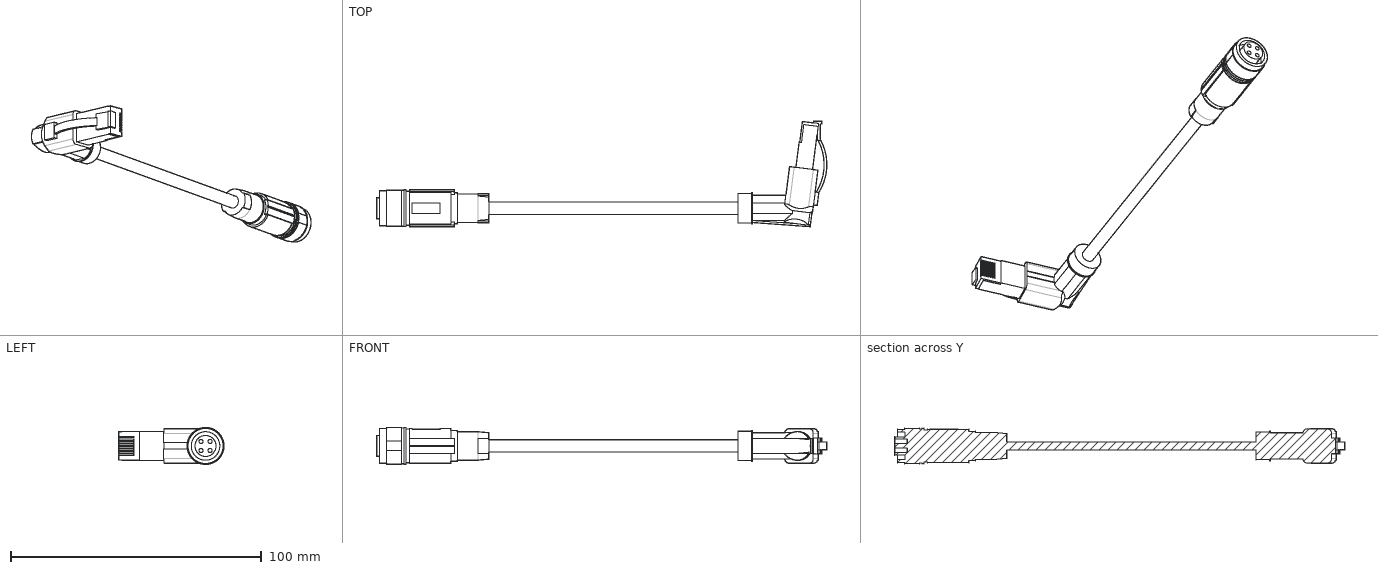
import cadquery as cq
import math

MAX_RADIUS = 7.395
TOTAL_LENGTH = 179.77
TOTAL_TOP = 34.765
OVERLAP = 0.5

NOSE_RADIUS = 4.2
NUT_START = 1.15
NUT_FACE_RADIUS = 7.0
NUT_BORE_RADIUS = 5.7
NUT_BORE_DEPTH = 3.0
NUT_GRIP_START = 4.0
NUT_GRIP_END = 9.95
NUT_RECESS_HALF_HEIGHT = 1.9
NUT_RECESS_DEPTH = 0.1
NUT_GROOVE_RADIUS = 7.2
RING_START = 11.0
RING_END = 11.8
NECK_RADIUS = 6.8
BODY_START = 13.2
BODY_END = 29.7
BODY_RADIUS = 7.0
COLLAR_END = 32.3
COLLAR_RADIUS = 6.2
SLEEVE_END = 40.4
SLEEVE_RADIUS = 5.75
CAP_END = 44.8
CAP_END_RADIUS = 5.35
CAP_PAD_RADIUS = 5.85
CONTACT_OFFSET = 1.8
CONTACT_HOLE_RADIUS = 0.8
CONTACT_HOLE_DEPTH = 5.0
PAD_END = 31.1
PAD_HALF_HEIGHT = 3.0
PAD_GROOVE_WIDTH = 0.5
PAD_GROOVE_DEPTH = 0.3
LABEL_START = 14.2
LABEL_END = 25.4
LABEL_WIDTH = 4.0

CABLE_RADIUS = 2.5

CUFF_START = 144.2
CUFF_END = 149.6
CUFF_RADIUS = 5.9
FLANGE_WIDTH = 0.4
FLANGE_RADIUS = 6.2
ARM_RADIUS = 5.7
ARM_FLAT_Z = 5.3
ARM_FLAT_Y = 5.2
RIDGE_HALF_HEIGHT = 3.0
RIDGE_END_DROP = MAX_RADIUS - ARM_RADIUS
ELBOW_X = 168.3
TURRET_RADIUS = 5.7
TURRET_BOTTOM = -6.2
TURRET_SIDE_BOTTOM = -4.4

PLUG_TILT = 7.3
HOUSING_BOTTOM = -1.2
HOUSING_TOP = 16.1
HOUSING_LEFT = -5.6
HOUSING_RIGHT = 5.9
HOUSING_HALF_HEIGHT = 6.95
HOUSING_FILLET = 1.9
HOUSING_CONE_RADIUS = 5.8
HOUSING_GROOVE_WIDTH = 2.6
HOUSING_GROOVE_DEPTH = 0.3
PLUG_TOP = 34.6
PLUG_LEFT = -3.05
PLUG_RIGHT = 3.75
PLUG_HALF_HEIGHT = 5.85
FRONT_STEP_LENGTH = 8.4
FRONT_STEP_DEPTH = 0.25
RIM_SIDE_WIDTH = 1.0
RIM_TIP_WIDTH = 1.2
RIM_DEPTH = 0.15
CONTACT_COUNT = 8
CONTACT_PITCH = 1.02
CONTACT_SLOT_WIDTH = 0.55
CONTACT_SLOT_LENGTH = 6.0
CONTACT_SLOT_DEPTH = 1.0
ANCHOR_BOTTOM = 2.0
ANCHOR_TOP = 7.3
ANCHOR_RIGHT = 7.4
LATCH_HALF_HEIGHT = 3.2
LEVER_HALF_HEIGHT = 1.6
LATCH_THICKNESS = 1.2
LATCH_FOOT = (176.5, 6.2)
LATCH_BEND = (177.1, 27.6)
LATCH_CROWN_Y = 17.2
LATCH_HOOK_LEFT = 174.3
LATCH_HOOK_RIGHT = 177.7
LATCH_HOOK_THICKNESS = 1.2


def box(x0, x1, y0, y1, z0, z1):
    """Axis-aligned block between two opposite corners."""
    return cq.Workplane("XY").box(x1 - x0, y1 - y0, z1 - z0, centered=False).translate((x0, y0, z0))


def rod(x0, x1, radius):
    """Cylinder on the X axis."""
    return cq.Workplane("YZ").workplane(offset=x0).circle(radius).extrude(x1 - x0)


def contact_holes():
    """Four contact holes on a square in the nose face."""
    holes = cq.Workplane("YZ").rect(2 * CONTACT_OFFSET, 2 * CONTACT_OFFSET, forConstruction=True)
    return holes.vertices().circle(CONTACT_HOLE_RADIUS).extrude(CONTACT_HOLE_DEPTH)


def round_connector():
    """Coupling nut, body, sleeve and end cap turned about the X axis, with grip pads."""
    profile = [
        (0, 0),
        (0, NOSE_RADIUS),
        (NUT_START + NUT_BORE_DEPTH, NOSE_RADIUS),
        (NUT_START + NUT_BORE_DEPTH, NUT_BORE_RADIUS),
        (NUT_START, NUT_BORE_RADIUS),
        (NUT_START, NUT_FACE_RADIUS),
        (NUT_GRIP_START, NUT_FACE_RADIUS),
        (NUT_GRIP_START, MAX_RADIUS),
        (NUT_GRIP_END, MAX_RADIUS),
        (NUT_GRIP_END, NUT_GROOVE_RADIUS),
        (RING_START, NUT_GROOVE_RADIUS),
        (RING_START, MAX_RADIUS),
        (RING_END, MAX_RADIUS),
        (RING_END, NECK_RADIUS),
        (BODY_START, NECK_RADIUS),
        (BODY_START, BODY_RADIUS),
        (BODY_END, BODY_RADIUS),
        (BODY_END, COLLAR_RADIUS),
        (COLLAR_END, COLLAR_RADIUS),
        (COLLAR_END, SLEEVE_RADIUS),
        (SLEEVE_END, SLEEVE_RADIUS),
        (CAP_END, CAP_END_RADIUS),
        (CAP_END, 0),
    ]
    connector = cq.Workplane("XY").polyline(profile).close().revolve(360, (0, 0, 0), (1, 0, 0))
    connector = connector.cut(contact_holes())

    label_floor = math.sqrt(BODY_RADIUS**2 - (LABEL_WIDTH / 2) ** 2)
    label = box(LABEL_START, LABEL_END, -LABEL_WIDTH / 2, LABEL_WIDTH / 2, label_floor, MAX_RADIUS)
    connector = connector.cut(label)

    nut_floor = MAX_RADIUS - NUT_RECESS_DEPTH
    for side in (-1, 1):
        grip = curved_strip(NUT_GRIP_START, NUT_GRIP_END, MAX_RADIUS, NUT_RECESS_HALF_HEIGHT, side)
        recess = grip.cut(rod(NUT_GRIP_START, NUT_GRIP_END, nut_floor))
        cap_pad = curved_strip(SLEEVE_END, CAP_END, CAP_PAD_RADIUS, PAD_HALF_HEIGHT, side)
        connector = connector.cut(recess).union(grip_pad(side)).union(cap_pad)
    return connector


def curved_strip(x0, x1, radius, half_height, side):
    """Part of an X cylinder within half_height of mid-height, on the +Y (side 1) or -Y (side -1) side."""
    y0, y1 = sorted((0, side * radius))
    return rod(x0, x1, radius).intersect(box(x0, x1, y0, y1, -half_height, half_height))


def grip_pad(side):
    """Curved grip on one side of the body, with a groove along its middle."""
    pad = curved_strip(BODY_START, PAD_END, MAX_RADIUS, PAD_HALF_HEIGHT, side)
    groove = curved_strip(BODY_START, PAD_END, MAX_RADIUS, PAD_GROOVE_WIDTH / 2, side)
    return pad.cut(groove.cut(rod(BODY_START, PAD_END, MAX_RADIUS - PAD_GROOVE_DEPTH)))


def place_on_elbow(shape):
    """Tilt a shape from the plug frame and move it to the elbow."""
    return shape.rotate((0, 0, 0), (0, 0, 1), -PLUG_TILT).translate((ELBOW_X, 0, 0))


def ridge():
    """Rounded rib on the -Y side of the arm that deepens toward the elbow."""
    end_y = -MAX_RADIUS
    end_x = ELBOW_X + end_y * math.sin(math.radians(PLUG_TILT)) + TURRET_RADIUS
    slope = math.degrees(math.atan2(RIDGE_END_DROP, end_x - CUFF_END))
    rib = rod(0, 2 * (end_x - CUFF_END), ARM_RADIUS)
    rib = rib.rotate((0, 0, 0), (0, 0, 1), -slope).translate((CUFF_END, 0, 0))
    strip = box(CUFF_END, TOTAL_LENGTH, end_y, 0, -RIDGE_HALF_HEIGHT, RIDGE_HALF_HEIGHT)
    end_stop = box(-ELBOW_X, TURRET_RADIUS, -2 * MAX_RADIUS, MAX_RADIUS, -MAX_RADIUS, MAX_RADIUS)
    return rib.intersect(strip).intersect(place_on_elbow(end_stop))


def turret():
    """Upright cylinder of the elbow, its lower end sloping up on both sides of the ridge."""
    top = HOUSING_BOTTOM + OVERLAP
    cylinder = cq.Workplane("XZ").workplane(offset=-top).circle(TURRET_RADIUS).extrude(top - TURRET_BOTTOM)
    side_profile = [
        (top, -TURRET_RADIUS),
        (TURRET_SIDE_BOTTOM, -TURRET_RADIUS),
        (TURRET_BOTTOM, -RIDGE_HALF_HEIGHT),
        (TURRET_BOTTOM, RIDGE_HALF_HEIGHT),
        (TURRET_SIDE_BOTTOM, TURRET_RADIUS),
        (top, TURRET_RADIUS),
    ]
    envelope = cq.Workplane("YZ").polyline(side_profile).close().extrude(TURRET_RADIUS, both=True)
    return cylinder.intersect(envelope)


def elbow_arm():
    """Cuff, flange and flattened arm leading from the cable to the elbow, with its turret and ridge."""
    cuff = rod(CUFF_START, CUFF_END, CUFF_RADIUS)
    flange = rod(CUFF_END, CUFF_END + FLANGE_WIDTH, FLANGE_RADIUS)
    arm = rod(CUFF_END, ELBOW_X, ARM_RADIUS)
    arm = arm.intersect(box(CUFF_END, ELBOW_X, -ARM_RADIUS, ARM_FLAT_Y, -ARM_FLAT_Z, ARM_FLAT_Z))
    return cuff.union(flange).union(arm).union(place_on_elbow(turret())).union(ridge())


def housing():
    """Filleted plug housing whose elbow end is turned to a 45 degree cone."""
    half_height = HOUSING_HALF_HEIGHT
    block = box(HOUSING_LEFT, HOUSING_RIGHT, HOUSING_BOTTOM, HOUSING_TOP, -half_height, half_height)
    block = block.edges("|Y").fillet(HOUSING_FILLET)
    reach = HOUSING_RIGHT + HOUSING_HALF_HEIGHT
    envelope = cq.Workplane("XY").polyline([
        (0, HOUSING_BOTTOM),
        (HOUSING_CONE_RADIUS, HOUSING_BOTTOM),
        (reach, HOUSING_BOTTOM + reach - HOUSING_CONE_RADIUS),
        (reach, HOUSING_TOP),
        (0, HOUSING_TOP),
    ]).close().revolve(360, (0, 0, 0), (0, 1, 0))
    half_groove = HOUSING_GROOVE_WIDTH / 2
    groove_floor = HOUSING_LEFT + HOUSING_GROOVE_DEPTH
    groove = box(HOUSING_LEFT, groove_floor, HOUSING_BOTTOM, HOUSING_TOP, -half_groove, half_groove)
    return block.intersect(envelope).cut(groove)


def modular_plug():
    """Rectangular plug with a stepped front, lowered rims at its tip and contact slots on its -X face."""
    plug = box(PLUG_LEFT, PLUG_RIGHT, HOUSING_TOP - OVERLAP, PLUG_TOP, -PLUG_HALF_HEIGHT, PLUG_HALF_HEIGHT)
    step_floor = PLUG_LEFT + FRONT_STEP_DEPTH
    step_start = PLUG_TOP - FRONT_STEP_LENGTH
    plug = plug.cut(box(PLUG_LEFT, step_floor, step_start, PLUG_TOP, -PLUG_HALF_HEIGHT, PLUG_HALF_HEIGHT))
    rim_z = PLUG_HALF_HEIGHT - RIM_DEPTH
    side_rim = box(PLUG_LEFT, PLUG_LEFT + RIM_SIDE_WIDTH, step_start, PLUG_TOP, rim_z, PLUG_HALF_HEIGHT)
    tip_rim = box(PLUG_LEFT, PLUG_RIGHT, PLUG_TOP - RIM_TIP_WIDTH, PLUG_TOP, rim_z, PLUG_HALF_HEIGHT)
    rim = side_rim.union(tip_rim)
    plug = plug.cut(rim).cut(rim.mirror("XY"))

    slot = box(
        PLUG_LEFT,
        step_floor + CONTACT_SLOT_DEPTH,
        PLUG_TOP - CONTACT_SLOT_LENGTH,
        PLUG_TOP,
        -CONTACT_SLOT_WIDTH / 2,
        CONTACT_SLOT_WIDTH / 2,
    )
    for index in range(CONTACT_COUNT):
        slot_z = (index - (CONTACT_COUNT - 1) / 2) * CONTACT_PITCH
        plug = plug.cut(slot.translate((0, 0, slot_z)))
    return plug


def latch_anchor():
    """Block on the housing that carries the foot of the latch."""
    left = HOUSING_RIGHT - OVERLAP
    return box(left, ANCHOR_RIGHT, ANCHOR_BOTTOM, ANCHOR_TOP, -LATCH_HALF_HEIGHT, LATCH_HALF_HEIGHT)


def latch():
    """Bowed lever from the housing up to a wide hook at the plug tip."""
    foot_x, foot_y = LATCH_FOOT
    bend_x, bend_y = LATCH_BEND
    bow = (
        cq.Workplane("XY").workplane(offset=-LEVER_HALF_HEIGHT)
        .moveTo(foot_x, foot_y)
        .threePointArc((TOTAL_LENGTH, LATCH_CROWN_Y), LATCH_BEND)
        .lineTo(bend_x - LATCH_THICKNESS, bend_y)
        .threePointArc((TOTAL_LENGTH - LATCH_THICKNESS, LATCH_CROWN_Y), (foot_x - LATCH_THICKNESS, foot_y))
        .close()
        .extrude(2 * LEVER_HALF_HEIGHT)
    )
    wide = (-LATCH_HALF_HEIGHT, LATCH_HALF_HEIGHT)
    strap = box(bend_x - LATCH_THICKNESS, bend_x, bend_y - OVERLAP, TOTAL_TOP, *wide)
    hook = box(LATCH_HOOK_LEFT, LATCH_HOOK_RIGHT, TOTAL_TOP - LATCH_HOOK_THICKNESS, TOTAL_TOP, *wide)
    return bow.union(strap).union(hook)


plug_end = place_on_elbow(housing().union(modular_plug()).union(latch_anchor()))
cable = rod(CAP_END - OVERLAP, CUFF_START + OVERLAP, CABLE_RADIUS)
result = round_connector().union(cable).union(elbow_arm()).union(plug_end).union(latch())